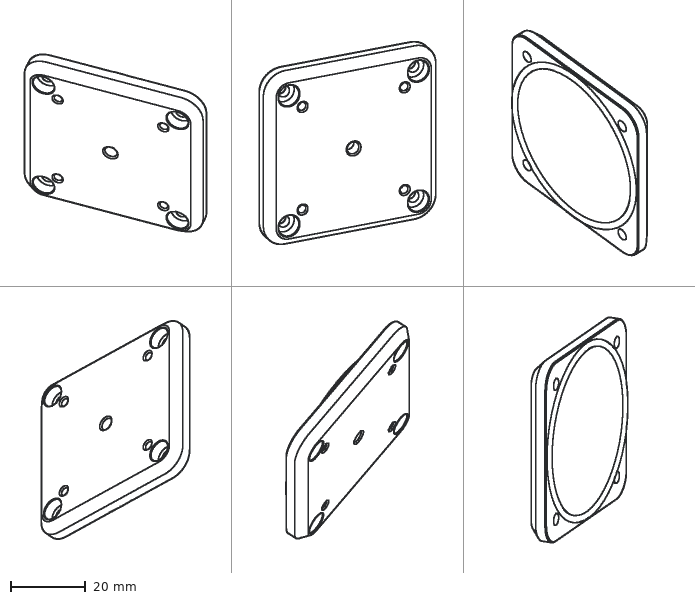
import cadquery as cq
import math

side = 50.8
total_depth = 6.55
corner_radius = 6.35
front_chamfer = 2.55
back_chamfer = 0.3

ring_outer_diameter = 49.55
ring_inner_diameter = 45.7
ring_section_radius = (ring_outer_diameter - ring_inner_diameter) / 4
ring_path_radius = (ring_outer_diameter + ring_inner_diameter) / 4

thickness = total_depth - ring_section_radius
front_y = -total_depth / 2
back_y = front_y + thickness

screw_offset = side / 2 - corner_radius
screw_diameter = 3.2
counterbore_diameter = 6.0
counterbore_depth = 3.15
counterbore_chamfer = 0.2

small_hole_offset = 15.05
small_hole_diameter = 2.3
small_hole_mouth = 3.15
centre_hole_diameter = 3.45
centre_hole_mouth = 4.3
drilled_depth = 3.55
drill_point_angle = 118.0


def four_corners(offset):
    """X, Z positions at the corners of a centred square."""
    return [(x, z) for x in (-offset, offset) for z in (-offset, offset)]


def revolved_cutter(profile, x, z):
    """Turn a (radius, depth) profile about a hole axis entering the front face."""
    return (
        cq.Workplane("XY", origin=(x, front_y, z))
        .polyline(profile)
        .close()
        .revolve(360, (0, 0), (0, 1))
    )


def screw_hole(x, z):
    """Through hole with a counterbore and a slightly chamfered mouth."""
    bore_radius = counterbore_diameter / 2
    profile = [
        (0, 0),
        (bore_radius + counterbore_chamfer, 0),
        (bore_radius, counterbore_chamfer),
        (bore_radius, counterbore_depth),
        (screw_diameter / 2, counterbore_depth),
        (screw_diameter / 2, thickness),
        (0, thickness),
    ]
    return revolved_cutter(profile, x, z)


def drilled_hole(x, z, diameter, mouth_diameter):
    """Blind hole with a 45 degree mouth chamfer and a drill-point bottom."""
    radius = diameter / 2
    mouth_radius = mouth_diameter / 2
    point_length = radius / math.tan(math.radians(drill_point_angle / 2))
    profile = [
        (0, 0),
        (mouth_radius, 0),
        (radius, mouth_radius - radius),
        (radius, drilled_depth),
        (0, drilled_depth + point_length),
    ]
    return revolved_cutter(profile, x, z)


def make_ring():
    """Round-section ring centred on the plane of the back face."""
    return (
        cq.Workplane("XY", origin=(0, back_y, 0))
        .center(ring_path_radius, 0)
        .circle(ring_section_radius)
        .revolve(360, (-ring_path_radius, 0), (-ring_path_radius, 1))
    )


def make_plate(ring):
    """Rounded square plate with chamfered rims, holes and a groove for the ring."""
    plate = (
        cq.Workplane("XZ", origin=(0, back_y, 0))
        .rect(side, side)
        .extrude(thickness)
        .edges("|Y")
        .fillet(corner_radius)
        .faces("<Y")
        .chamfer(front_chamfer)
        .faces(">Y")
        .chamfer(back_chamfer)
    )
    for x, z in four_corners(screw_offset):
        plate = plate.cut(screw_hole(x, z))
    for x, z in four_corners(small_hole_offset):
        plate = plate.cut(drilled_hole(x, z, small_hole_diameter, small_hole_mouth))
    plate = plate.cut(drilled_hole(0, 0, centre_hole_diameter, centre_hole_mouth))
    return plate.cut(ring).solids()


ring = make_ring()
plate = make_plate(ring)

result = cq.Compound.makeCompound([plate.val(), ring.val()])